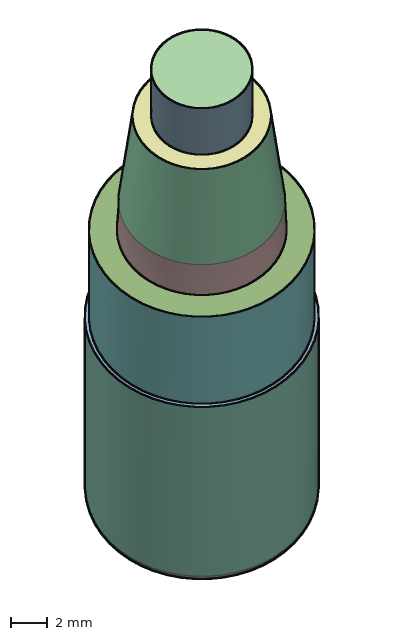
import cadquery as cq
import math

sleeve_diameter = 12.7
sleeve_height = 15.3
rim_radius = 0.7

shoulder_diameter = 12.25
shoulder_height = 7.5
collar_diameter = 9.22
collar_height = 2.5
collar_draft = 2.0
taper_height = 7.3
taper_angle = 6.0
tip_diameter = 5.5
tip_height = 4.0


def make_sleeve():
    """Solid cylinder with its bottom edge rounded."""
    body = cq.Workplane("XY").circle(sleeve_diameter / 2).extrude(sleeve_height)
    return body.faces("<Z").edges().fillet(rim_radius)


def make_plug():
    """Shoulder, collar, taper and tip, turned as one profile."""
    shoulder_top = sleeve_height + shoulder_height
    collar_top = shoulder_top + collar_height
    taper_top = collar_top + taper_height
    tip_top = taper_top + tip_height
    collar_radius = collar_diameter / 2
    taper_base_radius = collar_radius - collar_height * math.tan(math.radians(collar_draft))
    taper_top_radius = taper_base_radius - taper_height * math.tan(math.radians(taper_angle))
    profile = (
        cq.Workplane("XZ")
        .moveTo(0, sleeve_height)
        .lineTo(shoulder_diameter / 2, sleeve_height)
        .lineTo(shoulder_diameter / 2, shoulder_top)
        .lineTo(collar_radius, shoulder_top)
        .lineTo(taper_base_radius, collar_top)
        .lineTo(taper_top_radius, taper_top)
        .lineTo(tip_diameter / 2, taper_top)
        .lineTo(tip_diameter / 2, tip_top)
        .lineTo(0, tip_top)
        .close()
    )
    return profile.revolve(360, (0, 0, 0), (0, 1, 0))


sleeve = make_sleeve()
plug = make_plug()

result = cq.Compound.makeCompound([sleeve.val(), plug.val()])